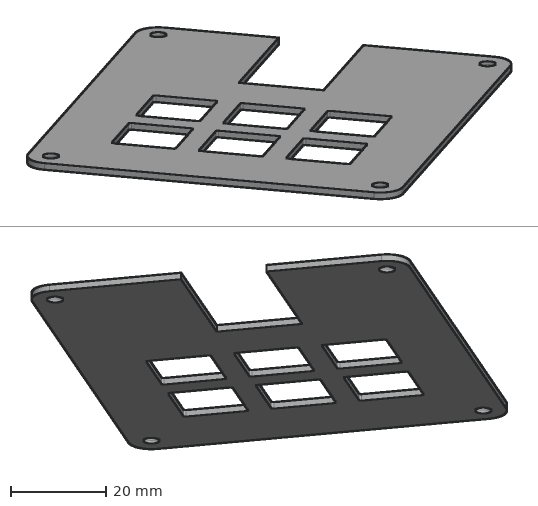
import cadquery as cq

width = 81.9
length = 93.8
thickness = 1.5
corner_radius = 5.0

hole_diameter = 3.4
hole_spacing_x = width - 2 * corner_radius
hole_spacing_y = length - 2 * corner_radius

key_size = 14.0
key_corner_radius = 0.5
key_pitch = 19.0
key_columns = 3
key_rows = 2
key_grid_y = -13.7

notch_width = 18.5
notch_depth = 31.15
notch_x = -1.8


def make_plate():
    plate = cq.Workplane("XY").box(width, length, thickness)
    return plate.edges("|Z").fillet(corner_radius)


def make_mounting_holes():
    return (
        cq.Workplane("XY")
        .rect(hole_spacing_x, hole_spacing_y, forConstruction=True)
        .vertices()
        .circle(hole_diameter / 2)
        .extrude(thickness, both=True)
    )


def make_key_cutouts():
    return (
        cq.Workplane("XY")
        .center(0, key_grid_y)
        .rarray(key_pitch, key_pitch, key_columns, key_rows)
        .rect(key_size, key_size)
        .extrude(thickness, both=True)
        .edges("|Z")
        .fillet(key_corner_radius)
    )


def make_notch():
    notch_y = length / 2 - notch_depth / 2
    return (
        cq.Workplane("XY")
        .center(notch_x, notch_y)
        .rect(notch_width, notch_depth)
        .extrude(thickness, both=True)
    )


result = make_plate().cut(make_mounting_holes()).cut(make_key_cutouts()).cut(make_notch())